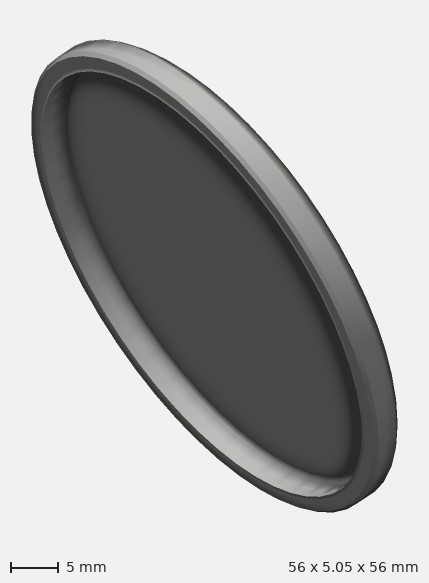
import cadquery as cq
import math

outer_radius = 28.0
height = 5.05
bore_radius = 51.65 / 2
recess_depth = 3.1
rim_outer_chamfer = 0.4
lip_width = 0.35
lip_height = 0.085
floor_fillet = 0.55

wall_height = 2.8
bevel_height = 0.3
bevel_inset = 0.15
dome_radius = 5.55

dome_start_radius = outer_radius - bevel_inset
dome_start = wall_height + bevel_height
dome_height = height - dome_start
dome_angle = math.acos(1 - dome_height / dome_radius)
flat_radius = dome_start_radius - dome_radius * math.sin(dome_angle)
dome_middle = (
    flat_radius + dome_radius * math.sin(dome_angle / 2),
    height - dome_radius * (1 - math.cos(dome_angle / 2)),
)

lip_arc_radius = (lip_width**2 + lip_height**2) / (2 * lip_height)

fillet_mid_offset = floor_fillet * (1 - math.sqrt(0.5))
fillet_middle = (bore_radius - fillet_mid_offset, recess_depth - fillet_mid_offset)

half_section = (
    cq.Workplane("XY")
    .moveTo(0, recess_depth)
    .lineTo(bore_radius - floor_fillet, recess_depth)
    .threePointArc(fillet_middle, (bore_radius, recess_depth - floor_fillet))
    .lineTo(bore_radius, 0)
    .radiusArc((bore_radius + lip_width, lip_height), lip_arc_radius)
    .lineTo(outer_radius - rim_outer_chamfer, lip_height)
    .lineTo(outer_radius, lip_height + rim_outer_chamfer)
    .lineTo(outer_radius, wall_height)
    .lineTo(dome_start_radius, dome_start)
    .threePointArc(dome_middle, (flat_radius, height))
    .lineTo(0, height)
    .close()
)

body = half_section.revolve(360, (0, 0, 0), (0, 1, 0))
result = body.translate((0, -height / 2, 0))